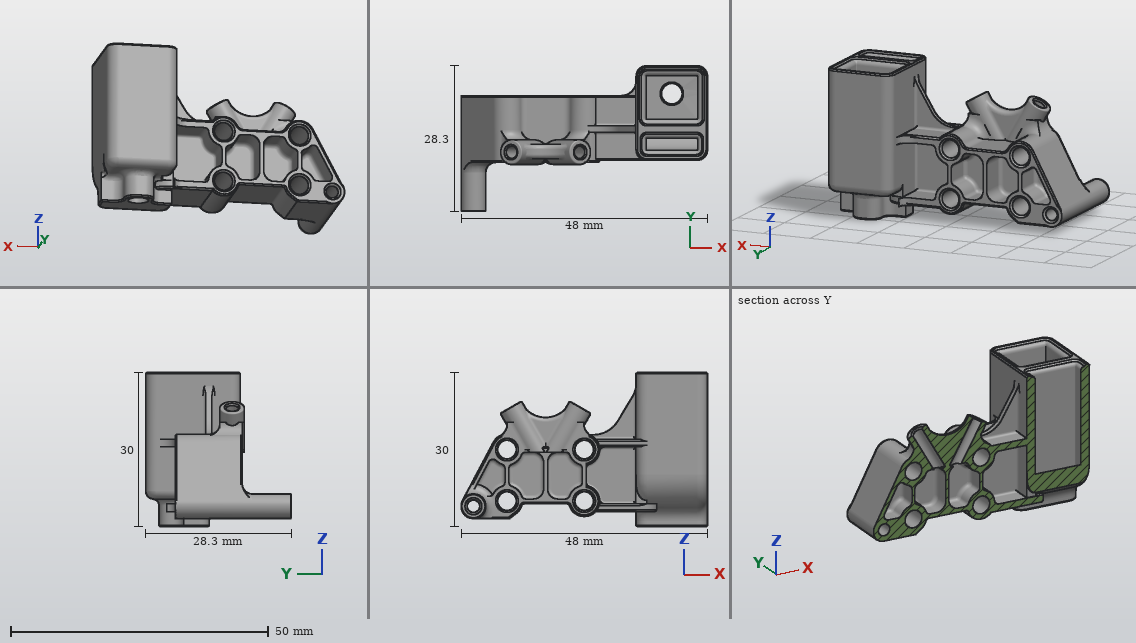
import cadquery as cq
import math

PLATE_DEPTH = 13.0
HOLE_PITCH_X = 15.0
HOLE_PITCH_Z = 10.0
SCREW_HOLE_D = 3.6
HOLE_CHAMFER = 0.4
BOSS_R = 3.0
FOOT_CORNER_X = 0.5
FOOT_CORNER_ANGLE = -50.0
EDGE_OVERHANG = 0.56
EDGE_BREAK = 0.3
TOP_BLEND_R = 1.5
BOTTOM_BLEND_R = 0.5
CENTRE_X = HOLE_PITCH_X / 2

RIB = 0.75
HALF_RIB = RIB / 2
WEB_Y = PLATE_DEPTH / 2
POCKET_DEPTH = WEB_Y - HALF_RIB
FLOOR_FILLET = 0.8
POCKET_BLEND_R = 0.9
POCKET_CORNER_R = 2.0
POCKET_BOTTOM_Z = 0.4
POCKET_TOP_Z = 9.5
SIDE_WALL = 1.0
SIDE_POCKET_BOTTOM_Z = 0.95
SIDE_POCKET_CORNER_R = 0.9

PIN_X = -6.5
PIN_Z = -1.0
PIN_R = 2.4
PIN_BORE_D = 2.4
PIN_TIP_Y = -9.5
PIN_FLARE_R = 1.9
PIN_CHAMFER = 0.15
BORE_CHAMFER = 0.45

TOWER_CENTRE_X = 32.0
TOWER_WIDTH = 13.9
TOWER_LEFT = TOWER_CENTRE_X - TOWER_WIDTH / 2
TOWER_FRONT = 0.4
TOWER_BACK = 18.79
TOWER_TOP = 25.0
TOWER_FOOT = -5.0
TOWER_CORNER_R = 2.1
TOWER_RIM_BREAK = 0.3
FRONT_CURVE_TOP_Z = 5.14
FRONT_CURVE_BOTTOM_Z = -3.9
FRONT_CURVE_R = 7.0
FOOT_FRONT = 6.4
FOOT_STEP = 11.4
TOWER_UNDERSIDE_Z = 0.37
UNDERSIDE_FILLET = 1.6
SCREW_FOOT_BACK = 16.2
SCREW_FOOT_HALF_WIDTH = 2.9
SCREW_FOOT_CORNER_R = 2.2
SCREW_FOOT_BLEND_R = 1.2
SCREW_FOOT_SIDE_BLEND_R = 1.8

CAVITY_WALL = 1.95
CAVITY_CORNER_R = 0.2
CAVITY_LIP_R = 1.3
LIP_BREAK = 0.35
LIP_CLEARANCE = 0.01
CAVITY_FRONT = 8.4
CAVITY_FLOOR_Z = 2.4
SLOT_BACK = 4.7
SLOT_LIP_R = 1.15
TOWER_HOLE_D = 4.0
TOWER_HOLE_Y = 13.35
TOWER_HOLE_CHAMFER = 0.25

UPPER_RIB_Z = 11.25
UPPER_RIB_TOP = UPPER_RIB_Z + 0.75
UPPER_RIB_BOTTOM = UPPER_RIB_Z - 0.75
RIB_NOSE_BREAK = 0.37
BRIDGE_FILLET = 0.5
LOWER_RIB_TOP = -0.5
LOWER_RIB_BOTTOM = -2.05
LOWER_RIB_END_X = 29.1
LOWER_RIB_CORNER_R = 3.6
UPPER_FLARE_R = 2.8
LOWER_FLARE_R = 1.7
GUSSET_ARC_R = 5.5
GUSSET_SLOPE = 59.0
GUSSET_BASE_Z = 12.9
GUSSET_START_X = 16.8
GUSSET_THICKNESS = 1.2
GUSSET_FILLET = 0.55
GUSSET_FULL_WIDTH_Z = 20.5
GUSSET_TOP_Z = 23.6
GUSSET_TIP_WIDTH = 0.4
GUSSET_BEND_INSET = 0.7

TUBE_R = 2.4
TUBE_BORE_D = 2.4
TUBE_TILT = 30.0
TUBE_Y = 2.0
TUBE_MOUTH_X = 0.77
TUBE_MOUTH_Z = 18.2
TUBE_LENGTH = 13.5
TUBE_BORE_DEPTH = 10.5
TUBE_BORE_CHAMFER = 0.3
TUBE_END_Z = POCKET_TOP_Z
TUBE_FLANK_R = 1.5
TUBE_EDGE = 0.25
SADDLE_FRONT = 0.7
SADDLE_BACK = 3.5
SADDLE_R = 5.3
SADDLE_Z = 16.25
SADDLE_HALF_WIDTH = 4.6
SADDLE_SIDE_Z = 17.2
SADDLE_BLEND_R = 1.0
SADDLE_ROUND = 0.9
NECK_LANDING_ANGLE = 111.5
NECK_BLEND_R = 1.9
NECK_WAIST = (-0.2, 13.9)
NECK_TOP = (0.1, 15.3)

FAR = 60.0
EDGE_TOLERANCE = 0.1
EMBED = 0.5

LOWER_LEFT = (0, 0)
UPPER_LEFT = (0, HOLE_PITCH_Z)
LOWER_RIGHT = (HOLE_PITCH_X, 0)
UPPER_RIGHT = (HOLE_PITCH_X, HOLE_PITCH_Z)
BOSSES = [LOWER_LEFT, UPPER_LEFT, LOWER_RIGHT, UPPER_RIGHT]
PIN = (PIN_X, PIN_Z)
TUBE_MOUTH = cq.Vector(TUBE_MOUTH_X, TUBE_Y, TUBE_MOUTH_Z)
TUBE_AXIS = cq.Vector(math.sin(math.radians(TUBE_TILT)), 0, -math.cos(math.radians(TUBE_TILT)))


def front_plane(y):
    """XZ sketch plane at the given y; a negative extrusion goes toward +Y."""
    return cq.Workplane(cq.Plane(origin=(0, y, 0), xDir=(1, 0, 0), normal=(0, -1, 0)))


def around(value):
    return value - EDGE_TOLERANCE, value + EDGE_TOLERANCE


def prism(points, y_from, y_to):
    return front_plane(y_from).polyline(points).close().extrude(y_from - y_to)


def rod(centre, radius, y_from, y_to):
    return front_plane(y_from).center(*centre).circle(radius).extrude(y_from - y_to)


def block(x_range, y_range, z_range):
    size = [high - low for low, high in (x_range, y_range, z_range)]
    corner = (x_range[0], y_range[0], z_range[0])
    return cq.Workplane("XY").box(*size, centered=False).translate(corner)


def edges_near(x_range, y_range, z_range):
    return cq.selectors.BoxSelector(
        (x_range[0], y_range[0], z_range[0]), (x_range[1], y_range[1], z_range[1])
    )


def mirror_x(shape):
    return shape.mirror("YZ", (CENTRE_X, 0, 0))


def mirror_y(shape):
    return shape.mirror("XZ", (0, WEB_Y, 0))


def left_tangent(offset):
    """Ends of the line touching the left of pin and upper left boss, moved inward by offset."""
    dx = UPPER_LEFT[0] - PIN_X
    dz = UPPER_LEFT[1] - PIN_Z
    turn = math.atan2(dz, dx) + math.acos((PIN_R - BOSS_R) / math.hypot(dx, dz))
    normal = (math.cos(turn), math.sin(turn))
    low = tuple(c + (PIN_R - offset) * n for c, n in zip(PIN, normal))
    high = tuple(c + (BOSS_R - offset) * n for c, n in zip(UPPER_LEFT, normal))
    return low, high


def plate_blank():
    low, high = left_tangent(0)
    bottom = -EDGE_OVERHANG
    top = HOLE_PITCH_Z + EDGE_OVERHANG
    under = PIN_Z - PIN_R
    angle = math.radians(FOOT_CORNER_ANGLE)
    landing = (BOSS_R * math.cos(angle), BOSS_R * math.sin(angle))
    side = [low, high, UPPER_LEFT, LOWER_LEFT, landing, (FOOT_CORNER_X, under), (PIN_X, under), PIN]
    right = HOLE_PITCH_X + HALF_RIB + EDGE_BREAK
    frame = [(0, bottom), (right, bottom), (right, top), (0, top)]
    body = prism(side, 0, PLATE_DEPTH).union(prism(frame, 0, PLATE_DEPTH))
    body = body.union(rod(PIN, PIN_R, 0, PLATE_DEPTH))
    for centre in BOSSES:
        body = body.union(rod(centre, BOSS_R, 0, PLATE_DEPTH))
    for z, blend in ((top, TOP_BLEND_R), (bottom, BOTTOM_BLEND_R)):
        corners = edges_near((EDGE_BREAK, HOLE_PITCH_X), (0, PLATE_DEPTH), around(z))
        body = body.edges("|Y").edges(corners).fillet(blend)
    return body.faces("<Y or >Y").edges().chamfer(EDGE_BREAK)


def pocket_tool(points, boss_centres, floor_fillet, corner_radius=0, blunt=()):
    """Front pocket: the outline keeps clear of the bosses; its floor edge is rounded."""
    tool = prism(points, 0, POCKET_DEPTH)
    for x_range, z_range in blunt:
        near = edges_near(x_range, (0, PLATE_DEPTH), z_range)
        tool = tool.edges("|Y").edges(near).fillet(corner_radius)
    for centre in boss_centres:
        tool = tool.cut(rod(centre, BOSS_R, 0, PLATE_DEPTH))
    reach = BOSS_R + EDGE_TOLERANCE
    for x, z in boss_centres:
        near = edges_near((x - reach, x + reach), (0, PLATE_DEPTH), (z - reach, z + reach))
        tool = tool.edges("|Y").edges(near).fillet(POCKET_BLEND_R)
    return tool.faces(">Y").edges().fillet(floor_fillet)


def centre_pocket():
    left = HALF_RIB
    right = CENTRE_X - HALF_RIB
    points = [(left, POCKET_BOTTOM_Z), (right, POCKET_BOTTOM_Z), (right, POCKET_TOP_Z), (left, POCKET_TOP_Z)]
    blunt = [(around(right), (0, PLATE_DEPTH))]
    return pocket_tool(points, [LOWER_LEFT, UPPER_LEFT], FLOOR_FILLET, POCKET_CORNER_R, blunt)


def side_pocket():
    low, high = left_tangent(SIDE_WALL)
    slope = (high[0] - low[0]) / (high[1] - low[1])
    bottom_x = low[0] + slope * (SIDE_POCKET_BOTTOM_Z - low[1])
    points = [
        (bottom_x, SIDE_POCKET_BOTTOM_Z),
        (-HALF_RIB, SIDE_POCKET_BOTTOM_Z),
        (-HALF_RIB, UPPER_LEFT[1]),
        high,
    ]
    corner = [(around(bottom_x), around(SIDE_POCKET_BOTTOM_Z))]
    return pocket_tool(points, [LOWER_LEFT, UPPER_LEFT], FLOOR_FILLET, SIDE_POCKET_CORNER_R, corner)


def bridge_pocket():
    left = HOLE_PITCH_X + HALF_RIB
    top = UPPER_RIB_BOTTOM
    points = [(left, LOWER_RIB_TOP), (TOWER_LEFT, LOWER_RIB_TOP), (TOWER_LEFT, top), (left, top)]
    return pocket_tool(points, [LOWER_RIGHT, UPPER_RIGHT], BRIDGE_FILLET)


def rib_flare(radius, z_range):
    """Concave corner between the back end of a rib and the side of the tower."""
    return (
        cq.Workplane("XY", origin=(0, 0, z_range[0]))
        .moveTo(TOWER_LEFT - radius, PLATE_DEPTH)
        .radiusArc((TOWER_LEFT, PLATE_DEPTH + radius), -radius)
        .lineTo(TOWER_LEFT, PLATE_DEPTH)
        .close()
        .extrude(z_range[1] - z_range[0])
    )


def tower_corner_clearance():
    """Opens the bridge pocket in front of the rounded tower corner."""
    return block(
        (TOWER_LEFT, TOWER_LEFT + TOWER_CORNER_R),
        (0, TOWER_FRONT + TOWER_CORNER_R),
        (LOWER_RIB_TOP, UPPER_RIB_BOTTOM),
    )


def rib_nose_bevel(z, direction):
    """Wedge that bevels the front edge of a rib; direction points from the edge into the rib."""
    start = HOLE_PITCH_X + BOSS_R
    return (
        cq.Workplane("YZ", origin=(start, 0, 0))
        .moveTo(TOWER_FRONT, z)
        .lineTo(TOWER_FRONT + RIB_NOSE_BREAK, z)
        .lineTo(TOWER_FRONT, z + direction * RIB_NOSE_BREAK)
        .close()
        .extrude(TOWER_LEFT + TOWER_CORNER_R - start)
    )


def bridge_blank():
    y_range = (TOWER_FRONT, PLATE_DEPTH)
    upper = (UPPER_RIB_BOTTOM, UPPER_RIB_TOP)
    lower = (LOWER_RIB_BOTTOM, LOWER_RIB_TOP)
    body = block((HOLE_PITCH_X, TOWER_LEFT + TOWER_CORNER_R), y_range, (lower[1], upper[1]))
    base = block((HOLE_PITCH_X, LOWER_RIB_END_X), y_range, (lower[0], lower[1]))
    base = base.edges("|Z and >X").fillet(LOWER_RIB_CORNER_R)
    base = base.faces("<Z").edges("not <X").chamfer(RIB_NOSE_BREAK)
    body = body.faces(">Z").edges(">Y or <Y").chamfer(RIB_NOSE_BREAK).union(base)
    body = body.union(rib_flare(UPPER_FLARE_R, upper))
    return body.union(rib_flare(LOWER_FLARE_R, lower))


def gusset():
    """Curved brace standing on the upper rib in line with the web."""
    slope = math.radians(GUSSET_SLOPE)
    arc_x = GUSSET_START_X + GUSSET_ARC_R * math.sin(slope)
    arc_z = GUSSET_BASE_Z + GUSSET_ARC_R * (1 - math.cos(slope))
    half = slope / 2
    mid_x = GUSSET_START_X + GUSSET_ARC_R * math.sin(half)
    mid_z = GUSSET_BASE_Z + GUSSET_ARC_R * (1 - math.cos(half))
    bend_x = TOWER_LEFT - GUSSET_BEND_INSET
    bend_z = arc_z + (bend_x - arc_x) * math.tan(slope)
    depth = GUSSET_THICKNESS + 2 * GUSSET_FILLET
    brace = (
        front_plane(WEB_Y - depth / 2)
        .moveTo(HOLE_PITCH_X, UPPER_RIB_Z)
        .lineTo(HOLE_PITCH_X, GUSSET_BASE_Z)
        .lineTo(GUSSET_START_X, GUSSET_BASE_Z)
        .threePointArc((mid_x, mid_z), (arc_x, arc_z))
        .lineTo(bend_x, bend_z)
        .tangentArcPoint((TOWER_LEFT, GUSSET_TOP_Z), relative=False)
        .lineTo(TOWER_LEFT + EMBED, GUSSET_TOP_Z)
        .lineTo(TOWER_LEFT + EMBED, UPPER_RIB_Z)
        .close()
        .extrude(-depth)
    )
    side_y = WEB_Y - GUSSET_THICKNESS / 2
    clearance = block((0, TOWER_LEFT), (-FAR, side_y), (UPPER_RIB_TOP, FAR))
    clearance = clearance.faces(">Y").edges("<Z or >X").fillet(GUSSET_FILLET)
    brace = brace.cut(clearance).cut(mirror_y(clearance))
    return brace.intersect(gusset_silhouette(depth / 2))


def gusset_silhouette(half_width):
    """Limits the brace to a shape with a pointed top where it runs out on the tower."""
    half_tip = GUSSET_TIP_WIDTH / 2
    return (
        cq.Workplane("YZ", origin=(0, WEB_Y, 0))
        .moveTo(-half_width, 0)
        .lineTo(-half_width, GUSSET_FULL_WIDTH_Z)
        .tangentArcPoint((-half_tip, GUSSET_TOP_Z), relative=False)
        .lineTo(0, GUSSET_TOP_Z)
        .lineTo(0, 0)
        .close()
        .extrude(TOWER_LEFT + EMBED)
        .mirror("XZ", (0, WEB_Y, 0), union=True)
    )


def tower_blank():
    drop = FRONT_CURVE_TOP_Z - FRONT_CURVE_BOTTOM_Z
    inset = FOOT_FRONT - TOWER_FRONT
    turn = 2 * math.atan2(inset, drop)
    join_y = TOWER_FRONT + FRONT_CURVE_R * (1 - math.cos(turn))
    join_z = FRONT_CURVE_TOP_Z - FRONT_CURVE_R * math.sin(turn)
    body = (
        cq.Workplane("YZ", origin=(TOWER_LEFT, 0, 0))
        .moveTo(TOWER_FRONT, TOWER_TOP)
        .lineTo(TOWER_FRONT, FRONT_CURVE_TOP_Z)
        .tangentArcPoint((join_y, join_z), relative=False)
        .tangentArcPoint((FOOT_FRONT, FRONT_CURVE_BOTTOM_Z), relative=False)
        .lineTo(FOOT_FRONT, TOWER_FOOT)
        .lineTo(FOOT_STEP, TOWER_FOOT)
        .lineTo(FOOT_STEP, TOWER_UNDERSIDE_Z)
        .lineTo(TOWER_BACK, TOWER_UNDERSIDE_Z)
        .lineTo(TOWER_BACK, TOWER_TOP)
        .close()
        .extrude(TOWER_WIDTH)
    )
    front_edges = edges_near(
        (0, FAR),
        (TOWER_FRONT - EDGE_TOLERANCE, FOOT_FRONT + EDGE_TOLERANCE),
        (-FAR, TOWER_TOP - EDGE_TOLERANCE),
    )
    body = body.edges("<X or >X").edges(front_edges).fillet(TOWER_CORNER_R)
    body = body.edges("|Z and >Y").fillet(TOWER_CORNER_R)
    return body.faces(">Z").edges().chamfer(TOWER_RIM_BREAK)


def screw_foot():
    foot = block(
        (TOWER_CENTRE_X - SCREW_FOOT_HALF_WIDTH, TOWER_CENTRE_X + SCREW_FOOT_HALF_WIDTH),
        (FOOT_STEP - EMBED, SCREW_FOOT_BACK),
        (TOWER_FOOT, TOWER_UNDERSIDE_Z),
    )
    return foot.edges("|Z and >Y").fillet(SCREW_FOOT_CORNER_R)


def lipped_cavity(y_range, floor_z, lip_radius):
    """Open-top cavity whose mouth widens by a rounded lip."""
    half = TOWER_WIDTH / 2 - CAVITY_WALL
    x_range = (TOWER_CENTRE_X - half, TOWER_CENTRE_X + half)
    cavity = block(x_range, y_range, (floor_z, TOWER_TOP)).edges("|Z").fillet(CAVITY_CORNER_R)
    round_radius = lip_radius - LIP_BREAK
    level = TOWER_TOP - LIP_BREAK
    mouth_x = (x_range[0] - round_radius, x_range[1] + round_radius)
    mouth_y = (y_range[0] - round_radius, y_range[1] + round_radius)
    mouth = block(mouth_x, mouth_y, (level - round_radius, level))
    mouth = mouth.edges("|Z").fillet(round_radius + CAVITY_CORNER_R)
    rim = mouth.faces(">Z").wires().toPending().workplane().extrude(LIP_BREAK, taper=-45, combine=False)
    ring = mouth.cut(cavity)
    inner = edges_near(
        (x_range[0] - EDGE_TOLERANCE, x_range[1] + EDGE_TOLERANCE),
        (y_range[0] - EDGE_TOLERANCE, y_range[1] + EDGE_TOLERANCE),
        around(level),
    )
    ring = ring.faces(">Z").edges(inner).fillet(round_radius - LIP_CLEARANCE)
    return cavity.union(mouth.cut(ring)).union(rim)


def slot():
    """Front cavity of the tower; its floor runs parallel to the curved front."""
    front = TOWER_FRONT + CAVITY_WALL
    radius = FRONT_CURVE_R - CAVITY_WALL
    cavity = lipped_cavity((front, SLOT_BACK), TOWER_UNDERSIDE_Z, SLOT_LIP_R)
    centre = (front + radius, FRONT_CURVE_TOP_Z)
    round_floor = cq.Workplane("YZ").center(*centre).circle(radius).extrude(FAR)
    upper = block((0, FAR), (0, FAR), (FRONT_CURVE_TOP_Z, FAR))
    return cavity.intersect(round_floor.union(upper))


def tower_hole():
    radius = TOWER_HOLE_D / 2
    length = CAVITY_FLOOR_Z - TOWER_FOOT
    base = cq.Workplane("XY", origin=(TOWER_CENTRE_X, TOWER_HOLE_Y, TOWER_FOOT))
    bore = base.circle(radius).extrude(length)
    flare = bore.faces(">Z").workplane().circle(radius + TOWER_HOLE_CHAMFER).extrude(
        -TOWER_HOLE_CHAMFER, taper=45, combine=False
    )
    return bore.union(flare)


def tower():
    body = tower_blank().union(screw_foot())
    foot_x = (TOWER_CENTRE_X - SCREW_FOOT_HALF_WIDTH, TOWER_CENTRE_X + SCREW_FOOT_HALF_WIDTH)
    near_foot = (foot_x[0] - EDGE_TOLERANCE, foot_x[1] + EDGE_TOLERANCE)
    level = around(TOWER_UNDERSIDE_Z)
    step = edges_near(near_foot, around(FOOT_STEP), (TOWER_FOOT, TOWER_UNDERSIDE_Z))
    body = body.edges("|Z").edges(step).fillet(SCREW_FOOT_SIDE_BLEND_R)
    body = body.faces("<Z").edges().chamfer(TOWER_RIM_BREAK)
    rear = edges_near((0, FAR), (FOOT_STEP + EMBED, FAR), level)
    body = body.edges(rear).edges("<X or >X or >Y").fillet(UNDERSIDE_FILLET)
    blend_x = (foot_x[0] - SCREW_FOOT_SIDE_BLEND_R, foot_x[1] + SCREW_FOOT_SIDE_BLEND_R)
    foot_root = edges_near(blend_x, (FOOT_STEP + EMBED, SCREW_FOOT_BACK + EDGE_TOLERANCE), level)
    return body.edges(foot_root).fillet(SCREW_FOOT_BLEND_R)


def hole_tool(centre, diameter, y_front, chamfer):
    """Through bore along Y, chamfered at both ends."""
    radius = diameter / 2
    length = PLATE_DEPTH - y_front
    profile = [
        (0, 0),
        (radius + chamfer, 0),
        (radius, chamfer),
        (radius, length - chamfer),
        (radius + chamfer, length),
        (0, length),
    ]
    tool = cq.Workplane("XY").polyline(profile).close().revolve(360, (0, 0), (0, 1))
    return tool.translate((centre[0], y_front, centre[1]))


def pin():
    """Pin with a flared root that is trimmed to the side of the plate."""
    body = rod(PIN, PIN_R, PIN_TIP_Y, PLATE_DEPTH).faces("<Y").chamfer(PIN_CHAMFER)
    flare = (
        cq.Workplane("XY")
        .moveTo(0, -PIN_FLARE_R)
        .lineTo(PIN_R, -PIN_FLARE_R)
        .radiusArc((PIN_R + PIN_FLARE_R, 0), PIN_FLARE_R)
        .lineTo(PIN_R + PIN_FLARE_R, EMBED)
        .lineTo(0, EMBED)
        .close()
        .revolve(360, (0, 0), (0, 1))
        .translate((PIN_X, 0, PIN_Z))
    )
    low, high = left_tangent(0)
    bottom = PIN_Z - PIN_R
    trim = prism([PIN, (PIN_X, bottom), (0, bottom), UPPER_LEFT, high, low], -PIN_FLARE_R, EMBED)
    return body.union(flare.intersect(trim))


def tube_tool(radius, length):
    """Cylinder from the left tube mouth down along the tilted axis."""
    return cq.Workplane(cq.Solid.makeCylinder(radius, length, TUBE_MOUTH, TUBE_AXIS))


def tube():
    body = tube_tool(TUBE_R, TUBE_LENGTH).faces(">Z").edges().fillet(TUBE_EDGE)
    return body.intersect(block((-FAR, FAR), (-FAR, FAR), (TUBE_END_Z, FAR)))


def tube_bore():
    """Bore down the left tube into the pocket below, with a conical mouth."""
    radius = TUBE_BORE_D / 2
    cone = cq.Solid.makeCone(radius + TUBE_BORE_CHAMFER, radius, TUBE_BORE_CHAMFER, TUBE_MOUTH, TUBE_AXIS)
    return tube_tool(radius, TUBE_BORE_DEPTH).union(cq.Workplane(cone))


def tube_axis_x(z):
    return TUBE_MOUTH_X + (TUBE_MOUTH_Z - z) * math.tan(math.radians(TUBE_TILT))


def saddle():
    """Thin wall between the tubes with a round valley on top."""
    rise = SADDLE_R - math.sqrt(SADDLE_R**2 - SADDLE_HALF_WIDTH**2)
    left = CENTRE_X - SADDLE_HALF_WIDTH
    right = CENTRE_X + SADDLE_HALF_WIDTH
    upper_x = tube_axis_x(SADDLE_SIDE_Z)
    lower_x = tube_axis_x(TUBE_END_Z)
    body = (
        front_plane(SADDLE_FRONT)
        .moveTo(left, SADDLE_Z + rise)
        .threePointArc((CENTRE_X, SADDLE_Z), (right, SADDLE_Z + rise))
        .lineTo(2 * CENTRE_X - upper_x, SADDLE_SIDE_Z)
        .lineTo(2 * CENTRE_X - lower_x, TUBE_END_Z)
        .lineTo(lower_x, TUBE_END_Z)
        .lineTo(upper_x, SADDLE_SIDE_Z)
        .close()
        .extrude(SADDLE_FRONT - SADDLE_BACK)
    )
    return body.edges("%CIRCLE").fillet(SADDLE_ROUND)


def neck_prism(depth):
    angle = math.radians(NECK_LANDING_ANGLE)
    landing = (BOSS_R * math.cos(angle), HOLE_PITCH_Z + BOSS_R * math.sin(angle))
    return (
        front_plane(0)
        .moveTo(*UPPER_LEFT)
        .lineTo(*landing)
        .threePointArc(NECK_WAIST, NECK_TOP)
        .lineTo(tube_axis_x(NECK_TOP[1]), NECK_TOP[1])
        .lineTo(tube_axis_x(HOLE_PITCH_Z), HOLE_PITCH_Z)
        .close()
        .extrude(-depth)
    )


def neck():
    """Fill between the left tube and the upper left boss, blended into the boss behind it."""
    back = TUBE_Y + TUBE_R
    collar = (
        cq.Workplane("XY")
        .moveTo(0, back - EMBED)
        .lineTo(BOSS_R + NECK_BLEND_R, back - EMBED)
        .lineTo(BOSS_R + NECK_BLEND_R, back)
        .radiusArc((BOSS_R, back + NECK_BLEND_R), NECK_BLEND_R)
        .lineTo(0, back + NECK_BLEND_R)
        .close()
        .revolve(360, (0, 0), (0, 1))
        .translate((UPPER_LEFT[0], 0, UPPER_LEFT[1]))
    )
    return neck_prism(back).union(collar.intersect(neck_prism(back + NECK_BLEND_R)))


def edges_along_tube(body, y):
    """Edges of body that run parallel to the left tube at the given y."""
    plane = edges_near((-FAR, FAR), around(y), (-FAR, FAR))
    return body.edges(cq.selectors.ParallelDirSelector(TUBE_AXIS)).edges(plane)


def arm():
    """Left tube with its neck and a soft transition along the tube's flank."""
    body = neck().union(tube())
    return edges_along_tube(body, 0).fillet(TUBE_FLANK_R)


def saddle_half():
    """Left half of the saddle, blended into the left tube."""
    body = edges_along_tube(saddle().union(tube()), SADDLE_FRONT).fillet(SADDLE_BLEND_R)
    return body.intersect(block((-FAR, CENTRE_X), (-FAR, FAR), (TUBE_END_Z, FAR)))


def build():
    body = plate_blank().union(bridge_blank()).union(gusset())
    crown = arm().union(saddle_half())
    body = body.union(crown).union(mirror_x(crown)).union(pin())
    front_pockets = [centre_pocket(), mirror_x(centre_pocket()), side_pocket(), bridge_pocket()]
    for pocket in front_pockets:
        body = body.cut(pocket).cut(mirror_y(pocket))
    for z, direction in ((UPPER_RIB_BOTTOM, 1), (LOWER_RIB_TOP, -1)):
        body = body.cut(rib_nose_bevel(z, direction))
    body = body.cut(tower_corner_clearance())
    body = body.union(tower())
    cavity_y = (CAVITY_FRONT, TOWER_BACK - CAVITY_WALL)
    body = body.cut(lipped_cavity(cavity_y, CAVITY_FLOOR_Z, CAVITY_LIP_R))
    body = body.cut(slot()).cut(tower_hole())
    for centre in BOSSES:
        body = body.cut(hole_tool(centre, SCREW_HOLE_D, 0, HOLE_CHAMFER))
    body = body.cut(hole_tool(PIN, PIN_BORE_D, PIN_TIP_Y, BORE_CHAMFER))
    return body.cut(tube_bore()).cut(mirror_x(tube_bore()))


result = build()